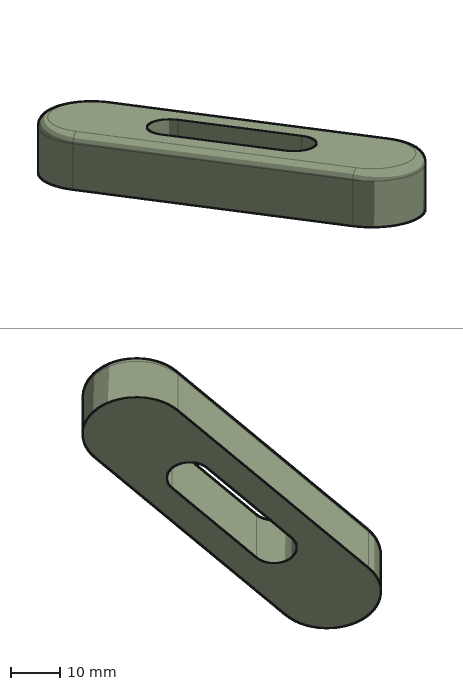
import cadquery as cq

length = 83.0
width = 22.0
height = 12.0
top_edge_radius = 2.0

slot_length = 36.3
slot_width = 9.3


def rounded_bar():
    """Bar with full-round ends and a filleted top rim."""
    bar = cq.Workplane("XY").slot2D(length, width).extrude(height)
    return bar.faces(">Z").edges().fillet(top_edge_radius)


def slot_cutter():
    """Full-round slot running through the whole height."""
    return cq.Workplane("XY").slot2D(slot_length, slot_width).extrude(height)


result = rounded_bar().cut(slot_cutter())